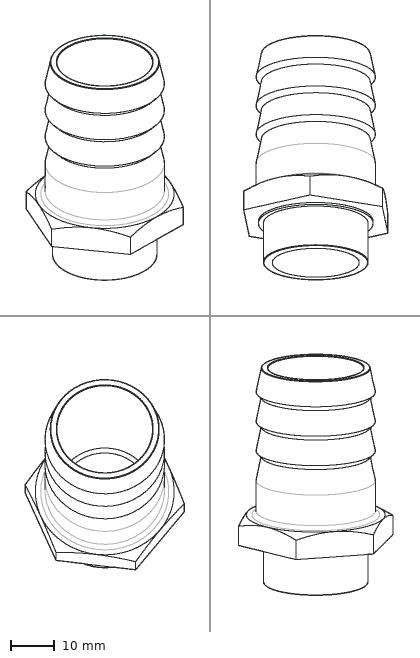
import cadquery as cq
import math

TOTAL_HEIGHT = 51.0

SPIGOT_DIAMETER = 24.1
COLLAR_DIAMETER = 26.4
COLLAR_BOTTOM = 9.6

HEX_ACROSS_FLATS = 32.0
HEX_BOTTOM = 10.05
HEX_TOP = 16.05
HEX_TOP_DIAMETER = 31.95
HEX_CHAMFER_SLOPE = 30.0

BARB_DIAMETER = 27.5
BARB_ROOT_DIAMETER = 25.1
BARB_COUNT = 4
BARB_PITCH = 7.0
FIRST_CREST_Z = 24.3
BARB_UNDERSIDE_HEIGHT = 1.2
NECK_FILLET = 0.95

UPPER_BORE_DIAMETER = 22.0
LOWER_BORE_DIAMETER = 20.0
BORE_CONE_TOP = HEX_TOP
BORE_CONE_SLOPE = 30.0

EDGE_CHAMFER = 0.15


def revolve_outline(points):
    """Revolve a closed (radius, height) outline about the Z axis."""
    return cq.Workplane("XZ").polyline(points).close().revolve(360, (0, 0), (0, 1))


def make_spigot():
    spigot = cq.Workplane("XY").circle(SPIGOT_DIAMETER / 2).extrude(HEX_TOP)
    spigot = spigot.faces("<Z").chamfer(EDGE_CHAMFER)
    collar = (
        cq.Workplane("XY")
        .workplane(offset=COLLAR_BOTTOM)
        .circle(COLLAR_DIAMETER / 2)
        .extrude(HEX_TOP - COLLAR_BOTTOM)
    )
    return spigot.union(collar)


def make_hexagon():
    """Hexagon with corners on the X axis and its top corners cut by a cone."""
    across_corners = HEX_ACROSS_FLATS / math.cos(math.radians(30))
    hexagon = (
        cq.Workplane("XY")
        .workplane(offset=HEX_BOTTOM)
        .polygon(6, across_corners)
        .extrude(HEX_TOP - HEX_BOTTOM)
    )
    top_radius = HEX_TOP_DIAMETER / 2
    cone_height = HEX_TOP - HEX_BOTTOM
    base_radius = top_radius + cone_height / math.tan(math.radians(HEX_CHAMFER_SLOPE))
    cone = revolve_outline(
        [(0, HEX_BOTTOM), (base_radius, HEX_BOTTOM), (top_radius, HEX_TOP), (0, HEX_TOP)]
    )
    return hexagon.intersect(cone)


def make_barb():
    """Plain neck with a flared foot, topped by a stack of tapered barbs."""
    crest = BARB_DIAMETER / 2
    root = BARB_ROOT_DIAMETER / 2
    foot = crest + NECK_FILLET
    fillet_top = HEX_TOP + NECK_FILLET
    fillet_inset = NECK_FILLET * (1 - math.sqrt(0.5))
    outline = (
        cq.Workplane("XZ")
        .moveTo(0, HEX_TOP)
        .lineTo(foot, HEX_TOP)
        .threePointArc((crest + fillet_inset, HEX_TOP + fillet_inset), (crest, fillet_top))
        .lineTo(crest, FIRST_CREST_Z)
    )
    for index in range(1, BARB_COUNT):
        crest_z = FIRST_CREST_Z + index * BARB_PITCH
        outline = outline.lineTo(root, crest_z - BARB_UNDERSIDE_HEIGHT)
        outline = outline.lineTo(crest, crest_z)
    outline = (
        outline.lineTo(root, TOTAL_HEIGHT - EDGE_CHAMFER)
        .lineTo(root - EDGE_CHAMFER, TOTAL_HEIGHT)
        .lineTo(0, TOTAL_HEIGHT)
        .close()
    )
    return outline.revolve(360, (0, 0), (0, 1))


def make_bore():
    upper = UPPER_BORE_DIAMETER / 2
    lower = LOWER_BORE_DIAMETER / 2
    cone_bottom = BORE_CONE_TOP - (upper - lower) * math.tan(math.radians(BORE_CONE_SLOPE))
    return revolve_outline(
        [
            (0, 0),
            (lower, 0),
            (lower, cone_bottom),
            (upper, BORE_CONE_TOP),
            (upper, TOTAL_HEIGHT - EDGE_CHAMFER),
            (upper + EDGE_CHAMFER, TOTAL_HEIGHT),
            (0, TOTAL_HEIGHT),
        ]
    )


result = make_spigot().union(make_hexagon()).union(make_barb()).cut(make_bore())